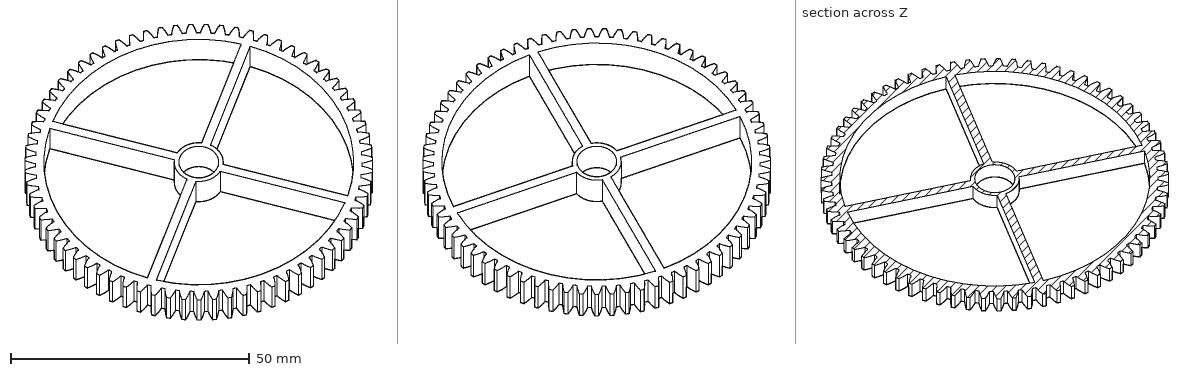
import cadquery as cq
import math

tooth_count = 71
tip_diameter = 73.0
pressure_angle = math.radians(20)
face_width = 7.0
rim_bore_diameter = 65.0
hub_diameter = 10.3
hub_bore_diameter = 8.3
spoke_width = 2.0
spoke_count = 4
dedendum_factor = 1.25
flank_point_count = 5

module = tip_diameter / (tooth_count + 2)
pitch_radius = module * tooth_count / 2
tip_radius = tip_diameter / 2
root_radius = pitch_radius - dedendum_factor * module
base_radius = pitch_radius * math.cos(pressure_angle)
pitch_angle = 2 * math.pi / tooth_count
first_tooth_angle = math.pi / 2


def polar(radius, angle):
    return (radius * math.cos(angle), radius * math.sin(angle))


def involute(angle):
    return math.tan(angle) - angle


def half_tooth_angle(radius):
    """Half the angle a tooth spans at a radius on its involute flanks."""
    roll = math.acos(base_radius / radius)
    return pitch_angle / 4 + involute(pressure_angle) - involute(roll)


def gear_blank():
    """Solid disc with involute teeth on its edge."""
    flank_step = (tip_radius - root_radius) / (flank_point_count - 1)
    radii = [root_radius + flank_step * i for i in range(flank_point_count)]
    root_half_angle = half_tooth_angle(root_radius)

    outline = cq.Workplane("XY").moveTo(*polar(root_radius, first_tooth_angle - root_half_angle))
    for tooth in range(tooth_count):
        centre = first_tooth_angle + tooth * pitch_angle
        rising = [polar(r, centre - half_tooth_angle(r)) for r in radii]
        falling = [polar(r, centre + half_tooth_angle(r)) for r in reversed(radii)]
        outline = outline.spline(rising[1:], includeCurrent=True)
        outline = outline.threePointArc(polar(tip_radius, centre), falling[0])
        outline = outline.spline(falling[1:], includeCurrent=True)
        gap_centre = centre + pitch_angle / 2
        next_tooth_start = centre + pitch_angle - root_half_angle
        outline = outline.threePointArc(polar(root_radius, gap_centre), polar(root_radius, next_tooth_start))
    return outline.close().extrude(face_width)


def cylinder(diameter):
    return cq.Workplane("XY").circle(diameter / 2).extrude(face_width)


def spokes():
    """Radial bars from the centre to the middle of the rim."""
    length = (root_radius + rim_bore_diameter / 2) / 2
    bar = cq.Workplane("XY").box(length, spoke_width, face_width, centered=(False, True, False))
    spoke_spacing = 360 / spoke_count
    bars = cq.Workplane("XY")
    for i in range(spoke_count):
        bars = bars.add(bar.rotate((0, 0, 0), (0, 0, 1), i * spoke_spacing))
    return bars.combine()


rim = gear_blank().cut(cylinder(rim_bore_diameter))
wheel = rim.union(spokes()).union(cylinder(hub_diameter))
result = wheel.cut(cylinder(hub_bore_diameter))